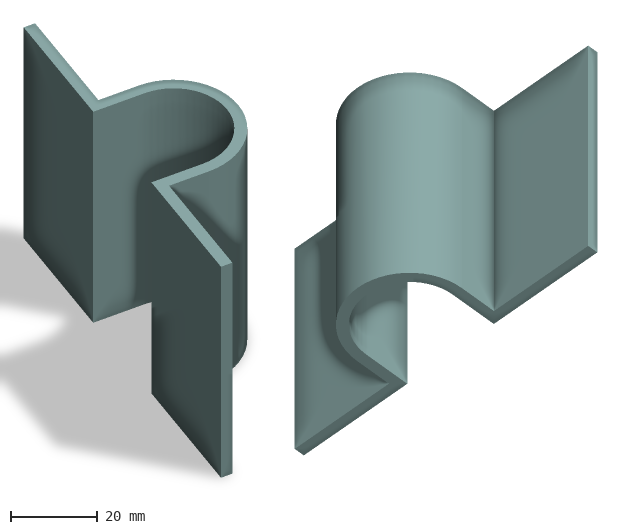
import cadquery as cq

overall_width = 95.0
overall_depth = 30.5
length = 65.0
wall = 3.0
inner_radius = 14.0

outer_radius = inner_radius + wall
half_width = overall_width / 2
arc_center_y = overall_depth - outer_radius


def saddle_profile():
    """Constant-thickness hat section: two flat flanges joined by a U-shaped arch."""
    return (
        cq.Workplane("XY")
        .moveTo(-half_width, 0)
        .lineTo(-inner_radius, 0)
        .lineTo(-inner_radius, arc_center_y)
        .threePointArc((0, arc_center_y + inner_radius), (inner_radius, arc_center_y))
        .lineTo(inner_radius, 0)
        .lineTo(half_width, 0)
        .lineTo(half_width, wall)
        .lineTo(outer_radius, wall)
        .lineTo(outer_radius, arc_center_y)
        .threePointArc((0, overall_depth), (-outer_radius, arc_center_y))
        .lineTo(-outer_radius, wall)
        .lineTo(-half_width, wall)
        .close()
    )


result = saddle_profile().extrude(length)